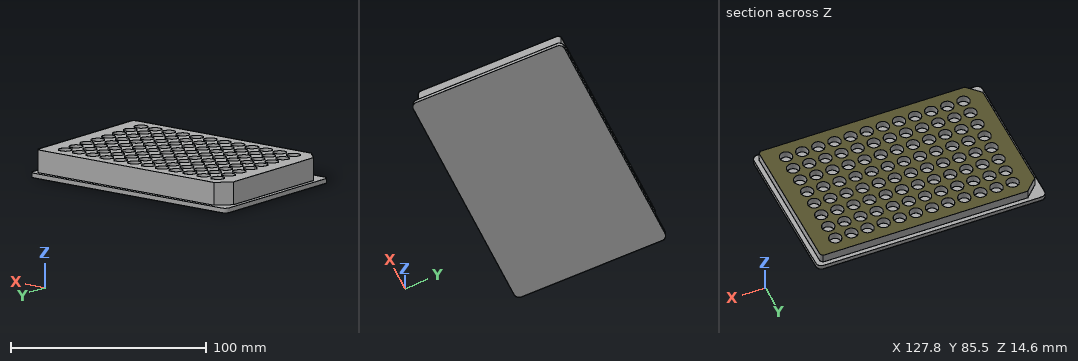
import cadquery as cq

base_length = 127.8
base_width = 85.5
base_thickness = 2.5
base_corner_radius = 3.1

total_height = 14.6
side_inset_x = 2.5
side_inset_y = 2.3
left_corner_chamfer = 7.2
right_corner_chamfer = 1.3
right_edge_radius = 1.3

column_count = 12
row_count = 8
first_to_last_column = 99.0
first_well_from_left = 14.3
first_well_from_back = 11.2
well_top_diameter = 7.0
well_floor_diameter = 6.4
well_depth = 10.9

block_length = base_length - 2 * side_inset_x
block_width = base_width - 2 * side_inset_y
block_height = total_height - base_thickness
well_pitch = first_to_last_column / (column_count - 1)
first_well_x = first_well_from_left - base_length / 2
first_well_y = base_width / 2 - first_well_from_back


def make_base():
    """Thin flange with rounded vertical corners."""
    base = cq.Workplane("XY").box(base_length, base_width, base_thickness, centered=(True, True, False))
    return base.edges("|Z").fillet(base_corner_radius)


def make_block():
    """Block with large chamfers on the -X corners and small ones on the +X corners."""
    block = (
        cq.Workplane("XY")
        .workplane(offset=base_thickness)
        .box(block_length, block_width, block_height, centered=(True, True, False))
    )
    block = block.faces("<X").edges("|Z").chamfer(left_corner_chamfer)
    block = block.faces(">X").edges("|Z").chamfer(right_corner_chamfer)
    return block.faces(">X").edges("|Z").fillet(right_edge_radius)


def make_wells():
    """Grid of tapered, flat-floored cutters reaching down from the top face."""
    well = cq.Solid.makeCone(
        well_floor_diameter / 2,
        well_top_diameter / 2,
        well_depth,
        pnt=cq.Vector(0, 0, total_height - well_depth),
    )
    positions = [
        (first_well_x + column * well_pitch, first_well_y - row * well_pitch)
        for row in range(row_count)
        for column in range(column_count)
    ]
    return cq.Workplane("XY").pushPoints(positions).eachpoint(lambda place: well.moved(place), combine=False)


result = make_base().union(make_block()).cut(make_wells())